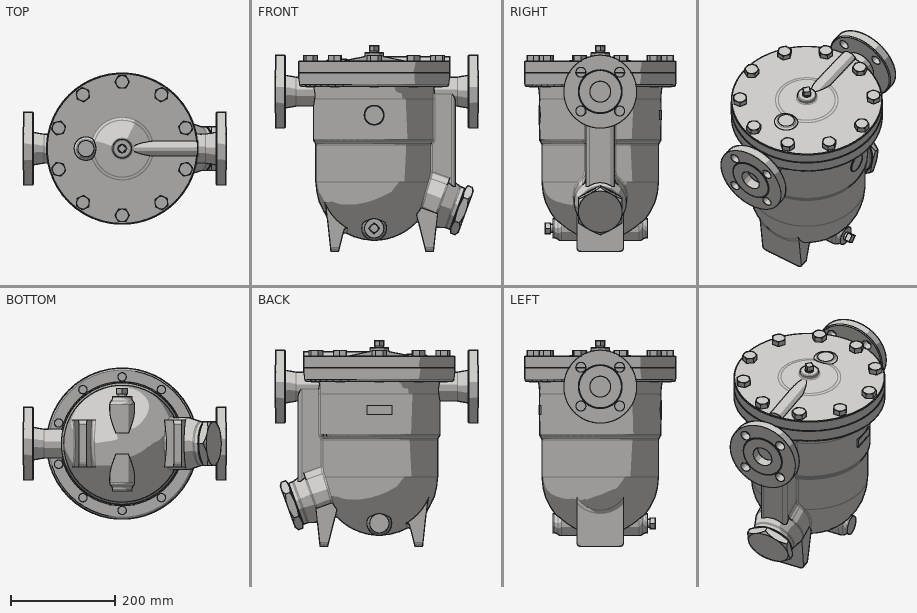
import cadquery as cq
import math


SURFACE_TOLERANCE = 0.001

FLANGE_RADIUS = 145.0
BODY_RADIUS = 116.5
LOWER_RADIUS = 112.0
NECK_RADIUS = 119.0
JOINT_Z = 35.5
GASKET_RADIUS = 144.0
GASKET_THICKNESS = 1.0
FLANGE_BOTTOM_Z = 10.0
FLANGE_ROUND = 4.0
NECK_BOTTOM_Z = -14.0
STEP_TOP_Z = -91.5
STEP_BOTTOM_Z = -102.0
STEP_ROUND_HEIGHT = 3.0
STEP_ROUND_DEPTH = 0.9
DOME_CENTER_Z = -173.0

COVER_TOP_Z = 59.0
COVER_EDGE_CHAMFER = 1.5
CONE_BASE_RADIUS = 60.0
CONE_RADIUS = 54.5
CONE_BASE_Z = 60.0
CONE_TOP_Z = 67.0
HUB_RADIUS = 18.0
HUB_FOOT_ROUND = 2.0
HUB_TOP_ROUND = 2.0
HUB_TOP_Z = 75.0
SENSOR_PAD_X = -69.5
SENSOR_PAD_BASE_RADIUS = 22.5
SENSOR_PAD_RADIUS = 18.0
SENSOR_PAD_TOP_RADIUS = 15.5
SENSOR_PAD_RIM_Z = 61.5
SENSOR_PAD_TOP_Z = 62.5
RIDGE_HALF_WIDTH = 14.4
RIDGE_HEIGHT = 8.0

BOLT_COUNT = 10
BOLT_CIRCLE_RADIUS = 128.0
BOLT_ACROSS_FLATS = 24.0
BOLT_HEAD_HEIGHT = 10.7
BOLT_CHAMFER = 0.8
BOLT_DIAMETER = 16.0
BOLT_END_PROJECTION = 0.8

INLET_FACE_X = -190.0
OUTLET_FACE_X = 200.0
PIPE_FLANGE_RADIUS = 70.0
PIPE_FLANGE_LENGTH = 20.0
PIPE_FLANGE_CHAMFER = 2.0
RAISED_FACE_TIP_RADIUS = 81.0 / 2
RAISED_FACE_BASE_RADIUS = 84.0 / 2
RAISED_FACE_HEIGHT = 1.0
PIPE_NECK_RADIUS = 31.5
PIPE_NECK_LENGTH = 20.0
PIPE_RADIUS = 28.0
BORE_DIAMETER = 40.0
BORE_DEPTH = 20.0
PIPE_HOLE_DIAMETER = 19.0
PIPE_HOLE_CIRCLE_DIAMETER = 105.0

PASSAGE_HALF_WIDTH = 27.7
PASSAGE_OUTER_X = 156.0
PASSAGE_EDGE_ROUND = 7.5
PASSAGE_BOTTOM_Z = -200.0
PASSAGE_BLEND_RADIUS = 18.0

STRAINER_TILT = 20.0
STRAINER_AXIS_Z = -166.4
STRAINER_START = 60.0
STRAINER_RADIUS = 50.0
STRAINER_SHOULDER = 136.0
STRAINER_TAPER_END = 161.0
STRAINER_COLLAR_RADIUS = 42.0
STRAINER_EDGE_ROUND = 8.0
WALL_BLEND_RADIUS = 4.0
CAP_GASKET_START = 169.5
CAP_GASKET_RADIUS = 40.5
CAP_START = 171.0
CAP_END = 187.0
CAP_ACROSS_FLATS = 84.0
CAP_FRONT_CHAMFER = 4.5
CAP_BACK_CHAMFER = 2.5

DRAIN_Z = -262.0
DRAIN_RADIUS = 23.8
DRAIN_START_Y = 20.0
DRAIN_SHOULDER_Y = 74.6
DRAIN_COLLAR_RADIUS = 18.5
DRAIN_COLLAR_Y = 88.0
DRAIN_FACE_Y = 90.7
PLUG_DIAMETER = 16.0
TOP_PLUG_SQUARE = 12.5
TOP_PLUG_SHANK = 3.0
TOP_PLUG_LENGTH = 13.0
DRAIN_PLUG_SQUARE = 15.0
DRAIN_PLUG_SHANK = 4.8
DRAIN_PLUG_LENGTH = 14.8

WALL_PAD_Z = -45.0
WALL_PAD_FACE_Y = 117.3
WALL_PAD_DIAMETER = 38.0
WALL_PAD_CHAMFER = 1.0
NAMEPLATE_WIDTH = 48.0
NAMEPLATE_HEIGHT = 17.5

FOOT_MIRROR_X = 15.4
FOOT_HALF_WIDTH = 45.0
FOOT_BOTTOM_Z = -306.5
FOOT_TOP_Z = -215.0
FOOT_OUTER_X = -83.0
FOOT_INNER_X = -68.3
FOOT_OUTER_SPREAD = 9.8
FOOT_INNER_SPREAD = 23.0
FOOT_CORNER_ROUND = 8.0
FOOT_OUTER_BLEND = 14.0
FOOT_INNER_BLEND = 5.0


def make_body():
    """Flanged vessel with a stepped wall, a hemispherical bottom and a gasket on top."""
    neck_rise = FLANGE_BOTTOM_Z - NECK_BOTTOM_Z
    profile = (
        cq.Workplane("XZ")
        .moveTo(0, JOINT_Z + GASKET_THICKNESS)
        .lineTo(GASKET_RADIUS, JOINT_Z + GASKET_THICKNESS)
        .lineTo(GASKET_RADIUS, JOINT_Z)
        .lineTo(FLANGE_RADIUS, JOINT_Z)
        .lineTo(FLANGE_RADIUS, FLANGE_BOTTOM_Z + FLANGE_ROUND)
        .tangentArcPoint((FLANGE_RADIUS - FLANGE_ROUND, FLANGE_BOTTOM_Z), relative=False)
        .lineTo(NECK_RADIUS, FLANGE_BOTTOM_Z)
        .threePointArc(
            (BODY_RADIUS + (NECK_RADIUS - BODY_RADIUS) / 4, NECK_BOTTOM_Z + neck_rise / 2),
            (BODY_RADIUS, NECK_BOTTOM_Z),
        )
        .lineTo(BODY_RADIUS, STEP_TOP_Z)
        .tangentArcPoint(
            (BODY_RADIUS - STEP_ROUND_DEPTH, STEP_TOP_Z - STEP_ROUND_HEIGHT), relative=False
        )
        .lineTo(LOWER_RADIUS + STEP_ROUND_DEPTH, STEP_BOTTOM_Z + STEP_ROUND_HEIGHT)
        .tangentArcPoint((LOWER_RADIUS, STEP_BOTTOM_Z), relative=False)
        .lineTo(LOWER_RADIUS, DOME_CENTER_Z)
        .radiusArc((0, DOME_CENTER_Z - LOWER_RADIUS), LOWER_RADIUS)
        .close()
    )
    return profile.revolve(360, (0, 0, 0), (0, 1, 0))


def make_cover():
    """Flat round cover with a shallow cone, a central hub, a round pad and a vent ridge."""
    plate_bottom_z = JOINT_Z + GASKET_THICKNESS
    plate = (
        cq.Workplane("XY", origin=(0, 0, plate_bottom_z))
        .circle(FLANGE_RADIUS)
        .extrude(COVER_TOP_Z - plate_bottom_z)
        .faces(">Z")
        .chamfer(COVER_EDGE_CHAMFER)
    )
    cone_and_hub = (
        cq.Workplane("XZ")
        .moveTo(0, COVER_TOP_Z)
        .lineTo(CONE_BASE_RADIUS, COVER_TOP_Z)
        .lineTo(CONE_RADIUS, CONE_BASE_Z)
        .lineTo(HUB_RADIUS + HUB_FOOT_ROUND, CONE_TOP_Z)
        .radiusArc((HUB_RADIUS, CONE_TOP_Z + HUB_FOOT_ROUND), HUB_FOOT_ROUND)
        .lineTo(HUB_RADIUS, HUB_TOP_Z - HUB_TOP_ROUND)
        .radiusArc((HUB_RADIUS - HUB_TOP_ROUND, HUB_TOP_Z), -HUB_TOP_ROUND)
        .lineTo(0, HUB_TOP_Z)
        .close()
        .revolve(360, (0, 0, 0), (0, 1, 0))
    )
    sensor_pad = (
        cq.Workplane("XZ")
        .moveTo(0, COVER_TOP_Z)
        .lineTo(SENSOR_PAD_BASE_RADIUS, COVER_TOP_Z)
        .lineTo(SENSOR_PAD_RADIUS, SENSOR_PAD_RIM_Z)
        .lineTo(SENSOR_PAD_TOP_RADIUS, SENSOR_PAD_TOP_Z)
        .lineTo(0, SENSOR_PAD_TOP_Z)
        .close()
        .revolve(360, (0, 0, 0), (0, 1, 0))
        .translate((SENSOR_PAD_X, 0, 0))
    )
    ridge = (
        cq.Workplane("YZ")
        .moveTo(-RIDGE_HALF_WIDTH, COVER_TOP_Z)
        .threePointArc((0, COVER_TOP_Z + RIDGE_HEIGHT), (RIDGE_HALF_WIDTH, COVER_TOP_Z))
        .close()
        .extrude(FLANGE_RADIUS)
    )
    return plate.union(cone_and_hub).union(sensor_pad).union(ridge)


def make_hex_head(across_flats, height, top_chamfer, bottom_chamfer=0):
    """Hexagon prism on the XY plane, corners on X, its corners turned down to the across-flats circle."""
    across_corners = across_flats / math.cos(math.radians(30))
    corner_depth = (across_corners - across_flats) / 2
    prism = cq.Workplane("XY").polygon(6, across_corners).extrude(height)
    turned = cq.Workplane("XY").circle(across_corners / 2).extrude(height)
    turned = turned.faces(">Z").chamfer(top_chamfer, corner_depth)
    if bottom_chamfer:
        turned = turned.faces("<Z").chamfer(bottom_chamfer, corner_depth)
    return prism.intersect(turned)


def make_cover_bolts():
    """Ring of hexagon bolts whose ends show below the body flange."""
    head = make_hex_head(BOLT_ACROSS_FLATS, BOLT_HEAD_HEIGHT, BOLT_CHAMFER)
    shank_length = COVER_TOP_Z - FLANGE_BOTTOM_Z + BOLT_END_PROJECTION
    shank = cq.Workplane("XY").circle(BOLT_DIAMETER / 2).extrude(-shank_length)
    bolt = head.union(shank).translate((0, BOLT_CIRCLE_RADIUS, COVER_TOP_Z))
    bolts = cq.Workplane("XY")
    for index in range(BOLT_COUNT):
        bolts = bolts.add(bolt.rotate((0, 0, 0), (0, 0, 1), index * 360 / BOLT_COUNT))
    return bolts


def make_pipe(face_distance):
    """Pipe stub along +X with a tapered neck and a raised-face flange."""
    flange_front = face_distance - RAISED_FACE_HEIGHT
    flange_back = face_distance - PIPE_FLANGE_LENGTH
    return (
        cq.Workplane("XZ")
        .moveTo(0, 0)
        .lineTo(0, PIPE_RADIUS)
        .lineTo(flange_back - PIPE_NECK_LENGTH, PIPE_RADIUS)
        .lineTo(flange_back, PIPE_NECK_RADIUS)
        .lineTo(flange_back, PIPE_FLANGE_RADIUS - PIPE_FLANGE_CHAMFER)
        .lineTo(flange_back + PIPE_FLANGE_CHAMFER, PIPE_FLANGE_RADIUS)
        .lineTo(flange_front, PIPE_FLANGE_RADIUS)
        .lineTo(flange_front, RAISED_FACE_BASE_RADIUS)
        .lineTo(face_distance, RAISED_FACE_TIP_RADIUS)
        .lineTo(face_distance, 0)
        .close()
        .revolve(360, (0, 0, 0), (1, 0, 0))
    )


def make_pipe_holes(face_distance):
    """Blind bore and the four flange holes, for a pipe along +X."""
    bore = (
        cq.Workplane("YZ", origin=(face_distance - BORE_DEPTH, 0, 0))
        .circle(BORE_DIAMETER / 2)
        .extrude(BORE_DEPTH)
    )
    pitch = PIPE_HOLE_CIRCLE_DIAMETER / math.sqrt(2)
    bolt_holes = (
        cq.Workplane("YZ", origin=(face_distance - PIPE_FLANGE_LENGTH, 0, 0))
        .rect(pitch, pitch, forConstruction=True)
        .vertices()
        .circle(PIPE_HOLE_DIAMETER / 2)
        .extrude(PIPE_FLANGE_LENGTH)
    )
    return bore.union(bolt_holes)


def make_passage():
    """Upright rounded duct from the strainer boss up to the outlet pipe."""
    return (
        cq.Workplane("XY", origin=(0, 0, PASSAGE_BOTTOM_Z))
        .moveTo(0, -PASSAGE_HALF_WIDTH)
        .lineTo(PASSAGE_OUTER_X, -PASSAGE_HALF_WIDTH)
        .lineTo(PASSAGE_OUTER_X, PASSAGE_HALF_WIDTH)
        .lineTo(0, PASSAGE_HALF_WIDTH)
        .close()
        .extrude(-PASSAGE_BOTTOM_Z)
        .edges("|Z and >X")
        .fillet(PASSAGE_EDGE_ROUND)
    )


def tilt_to_strainer_axis(shape):
    """Turn a shape built along +Z onto the strainer axis."""
    turned = shape.rotate((0, 0, 0), (0, 1, 0), 90 + STRAINER_TILT)
    return turned.translate((0, 0, STRAINER_AXIS_Z))


def make_strainer_boss():
    """Inclined boss that tapers to a collar."""
    boss = (
        cq.Workplane("XZ")
        .moveTo(0, STRAINER_START)
        .lineTo(STRAINER_RADIUS, STRAINER_START)
        .lineTo(STRAINER_RADIUS, STRAINER_SHOULDER)
        .lineTo(STRAINER_COLLAR_RADIUS, STRAINER_TAPER_END)
        .lineTo(STRAINER_COLLAR_RADIUS, CAP_GASKET_START)
        .lineTo(0, CAP_GASKET_START)
        .close()
        .revolve(360, (0, 0, 0), (0, 1, 0))
    )
    for height in (STRAINER_SHOULDER, STRAINER_TAPER_END):
        boss = boss.edges(cq.NearestToPointSelector((0, 0, height))).fillet(STRAINER_EDGE_ROUND)
    return tilt_to_strainer_axis(boss)


def make_passage_blend():
    """Concave blend along the strainer axis between the boss and both sides of the passage."""
    center_y = PASSAGE_HALF_WIDTH + PASSAGE_BLEND_RADIUS
    center_distance = STRAINER_RADIUS + PASSAGE_BLEND_RADIUS
    center_rise = math.sqrt(center_distance**2 - center_y**2)
    boss_share = STRAINER_RADIUS / center_distance
    boss_rise = center_rise * boss_share
    boss_y = center_y * boss_share
    blend = (
        cq.Workplane("XY", origin=(0, 0, STRAINER_START))
        .moveTo(0, -boss_y)
        .lineTo(-boss_rise, -boss_y)
        .radiusArc((-center_rise, -PASSAGE_HALF_WIDTH), -PASSAGE_BLEND_RADIUS)
        .lineTo(-center_rise, PASSAGE_HALF_WIDTH)
        .radiusArc((-boss_rise, boss_y), -PASSAGE_BLEND_RADIUS)
        .lineTo(0, boss_y)
        .close()
        .extrude(STRAINER_SHOULDER - STRAINER_START)
    )
    return tilt_to_strainer_axis(blend)


def make_strainer_cap():
    """Hexagonal cap and its gasket on the end of the strainer boss."""
    cap = make_hex_head(CAP_ACROSS_FLATS, CAP_END - CAP_START, CAP_FRONT_CHAMFER, CAP_BACK_CHAMFER)
    gasket = cq.Workplane("XY").circle(CAP_GASKET_RADIUS).extrude(CAP_GASKET_START - CAP_START)
    return tilt_to_strainer_axis(cap.union(gasket).translate((0, 0, CAP_START)))


def make_square_plug(square, shank_length, length):
    """Round shank with a square head, along +Z, square corners on X and Y."""
    shank = cq.Workplane("XY").circle(PLUG_DIAMETER / 2).extrude(shank_length)
    head = (
        cq.Workplane("XY", origin=(0, 0, shank_length))
        .rect(square, square)
        .extrude(length - shank_length)
        .rotate((0, 0, 0), (0, 0, 1), 45)
    )
    return shank.union(head)


def make_drain_boss():
    """Round boss on the +Y side of the dome, drawn in by a smooth S-curve to a collar."""
    middle_radius = (DRAIN_RADIUS + DRAIN_COLLAR_RADIUS) / 2
    middle_y = (DRAIN_SHOULDER_Y + DRAIN_COLLAR_Y) / 2
    boss = (
        cq.Workplane("XY")
        .moveTo(0, DRAIN_START_Y)
        .lineTo(DRAIN_RADIUS, DRAIN_START_Y)
        .lineTo(DRAIN_RADIUS, DRAIN_SHOULDER_Y)
        .tangentArcPoint((middle_radius, middle_y), relative=False)
        .tangentArcPoint((DRAIN_COLLAR_RADIUS, DRAIN_COLLAR_Y), relative=False)
        .lineTo(DRAIN_COLLAR_RADIUS, DRAIN_FACE_Y)
        .lineTo(0, DRAIN_FACE_Y)
        .close()
        .revolve(360, (0, 0, 0), (0, 1, 0))
    )
    return boss.translate((0, 0, DRAIN_Z))


def make_plugs():
    """Vent plug on the cover hub and drain plug on the -Y drain boss."""
    vent = make_square_plug(TOP_PLUG_SQUARE, TOP_PLUG_SHANK, TOP_PLUG_LENGTH)
    drain = make_square_plug(DRAIN_PLUG_SQUARE, DRAIN_PLUG_SHANK, DRAIN_PLUG_LENGTH)
    drain = drain.rotate((0, 0, 0), (1, 0, 0), 90).translate((0, -DRAIN_FACE_Y, DRAIN_Z))
    return vent.translate((0, 0, HUB_TOP_Z)).union(drain)


def make_wall_pads():
    """Round pad on the -Y wall and oblong pad on the +Y wall."""
    round_pad = (
        cq.Workplane("XZ", origin=(0, 0, WALL_PAD_Z))
        .circle(WALL_PAD_DIAMETER / 2)
        .extrude(WALL_PAD_FACE_Y)
        .faces("<Y")
        .chamfer(WALL_PAD_CHAMFER)
    )
    oblong_pad = (
        cq.Workplane("XZ", origin=(0, 0, WALL_PAD_Z))
        .rect(NAMEPLATE_WIDTH, NAMEPLATE_HEIGHT)
        .extrude(-WALL_PAD_FACE_Y)
    )
    return round_pad.union(oblong_pad)


def make_foot():
    """Tapered foot on the inlet side."""
    return (
        cq.Workplane("XZ", origin=(0, FOOT_HALF_WIDTH, 0))
        .moveTo(FOOT_OUTER_X, FOOT_BOTTOM_Z)
        .lineTo(FOOT_INNER_X, FOOT_BOTTOM_Z)
        .lineTo(FOOT_INNER_X + FOOT_INNER_SPREAD, FOOT_TOP_Z)
        .lineTo(FOOT_OUTER_X - FOOT_OUTER_SPREAD, FOOT_TOP_Z)
        .close()
        .extrude(2 * FOOT_HALF_WIDTH)
        .faces("<Z")
        .edges("|X")
        .fillet(FOOT_CORNER_ROUND)
    )


def make_vessel_on_foot():
    """Vessel body with the inlet-side foot blended into its dome across both broad faces."""
    vessel = make_body().union(make_foot())
    for foot_x, blend in ((FOOT_OUTER_X, FOOT_OUTER_BLEND), (FOOT_INNER_X, FOOT_INNER_BLEND)):
        depth = math.sqrt(LOWER_RADIUS**2 - foot_x**2)
        junction = cq.NearestToPointSelector((foot_x, 0, DOME_CENTER_Z - depth))
        vessel = vessel.edges(junction).fillet(blend)
    return vessel


def edges_shared(whole, first, second):
    """Edges of a union whose middles lie on the surfaces of both united parts."""

    def touches(edge, part):
        middle = cq.Vertex.makeVertex(*edge.positionAt(0.5).toTuple())
        return min(face.distance(middle) for face in part.faces().vals()) < SURFACE_TOLERANCE

    return [edge for edge in whole.edges().vals() if touches(edge, first) and touches(edge, second)]


def make_vessel_with_outlet():
    """Vessel with the strainer boss and outlet passage blended into its wall."""
    vessel = make_vessel_on_foot()
    outlet = make_passage().union(make_strainer_boss()).union(make_passage_blend())
    whole = vessel.union(outlet)
    return whole.newObject(edges_shared(whole, vessel, outlet)).fillet(WALL_BLEND_RADIUS)


inlet_turn = ((0, 0, 0), (0, 0, 1), 180)

opposite_foot = make_foot().mirror("YZ").translate((2 * FOOT_MIRROR_X, 0, 0))

result = make_vessel_with_outlet().union(opposite_foot)
result = result.union(make_drain_boss()).union(make_drain_boss().mirror("XZ"))
result = result.union(make_wall_pads())
result = result.union(make_pipe(OUTLET_FACE_X)).union(make_pipe(-INLET_FACE_X).rotate(*inlet_turn))
result = result.union(make_cover()).union(make_strainer_cap()).union(make_plugs())
for bolt in make_cover_bolts().vals():
    result = result.union(cq.Workplane(bolt))
result = result.cut(make_pipe_holes(OUTLET_FACE_X))
result = result.cut(make_pipe_holes(-INLET_FACE_X).rotate(*inlet_turn))